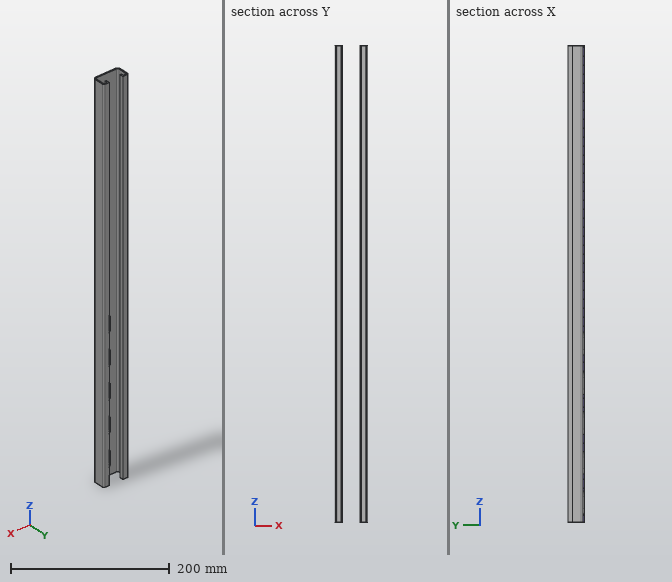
import cadquery as cq

length = 600.0
width = 41.0
depth = 21.0

thickness = 2.1
mouth_width = 22.0
lip_depth = 6.0
web_bend_radius = 4.5
flange_bend_radius = 2.5

slot_count = 5
slot_width = 13.0
slot_length = 28.0
slot_pitch = length / 12
first_slot_height = slot_pitch / 2

front_y = -depth / 2
back_y = depth / 2


def rounded_bar(inset):
    """Full-length bar inside the channel outline by inset, with concentric corner rounds."""
    return (
        cq.Workplane("XY")
        .rect(width - 2 * inset, depth - 2 * inset)
        .extrude(length)
        .edges("|Z and <Y")
        .fillet(web_bend_radius - inset)
        .edges("|Z and >Y")
        .fillet(flange_bend_radius - inset)
    )


def make_mouth():
    """Cutter that opens the back of the channel between the two flanges."""
    return (
        cq.Workplane("XY")
        .center(0, back_y)
        .rect(mouth_width, 2 * lip_depth)
        .extrude(length)
    )


def make_lips():
    """Flange ends turned back towards the web, one on each side of the mouth."""
    lip_x = (mouth_width + thickness) / 2
    lip_y = back_y - lip_depth / 2
    return (
        cq.Workplane("XY")
        .pushPoints([(-lip_x, lip_y), (lip_x, lip_y)])
        .rect(thickness, lip_depth)
        .extrude(length)
    )


def make_slots():
    """Round-ended slot cutters that pass through the web only."""
    centers = [(0, first_slot_height + i * slot_pitch) for i in range(slot_count)]
    return (
        cq.Workplane("XZ", origin=(0, front_y + thickness, 0))
        .pushPoints(centers)
        .slot2D(slot_length, slot_width, 90)
        .extrude(thickness)
    )


tube = rounded_bar(0).cut(rounded_bar(thickness))
channel = tube.cut(make_mouth()).union(make_lips())
result = channel.cut(make_slots())